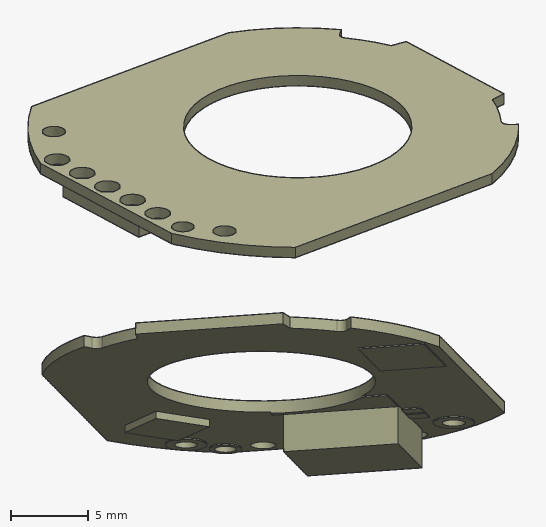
import cadquery as cq
import math

board_thickness = 0.76
board_width = 26.63
board_length = 29.52
half_width = board_width / 2
tab_edge_y = half_width
flat_edge_y = tab_edge_y - board_length
upper_radius = 14.33
lower_radius = 17.5
bore_diameter = 14.8

recess_radius = 13.22
recess_start_angle = 112.7
recess_end_angle = 128.6
recess_corner_radius = 0.5
tab_half_width = 4.94

hole_pitch = 2.54
hole_count = 6
hole_row_y = -15.03
row_hole_diameter = 1.65
end_hole_diameter = 1.45

mount_hole_diameter = 1.5
mount_hole_centers = [(-9.6, -12.58), (8.55, -13.35)]

pad_thickness = 0.09
mount_pad_diameter = 2.7
end_pad_diameter = 2.1

connector_x = (-7.12, 0.55)
connector_y = (-13.9, -7.79)
connector_bottom_z = -3.35

chip_side = 4.0
chip_center = (8.43, -8.04)
chip_bottom_z = -1.25
chip_turn = 45

side_pad = ((-12.6, -8.2), (0.9, 6.45))
rear_pad = ((connector_x[0], 1.3), (connector_y[1], -5.03))
lead_tip_x = -8.4
lead_x = (lead_tip_x, connector_x[0])
leads = [(lead_x, (-9.65, -8.6)), (lead_x, (-10.9, -9.85))]

board_bottom_z = -board_thickness
pad_bottom_z = board_bottom_z - pad_thickness
end_hole_center = (hole_pitch * (hole_count - 1) / 2, hole_row_y)


def polar(radius, degrees):
    """Point at a radius and angle about the bore axis."""
    angle = math.radians(degrees)
    return (radius * math.cos(angle), radius * math.sin(angle))


def mirrored(point):
    """Point reflected across X = 0."""
    return (-point[0], point[1])


def angle_at_x(radius, x):
    """Angle of the +Y point on a circle about the bore axis at the given X."""
    return math.degrees(math.acos(x / radius))


def block(x_range, y_range, bottom_z, top_z):
    """Rectangular block between the given limits."""
    corner = (x_range[0], y_range[0], bottom_z)
    size = (x_range[1] - x_range[0], y_range[1] - y_range[0], top_z - bottom_z)
    return cq.Workplane("XY").box(*size, centered=False).translate(corner)


def cylinder(center, diameter, bottom_z, top_z):
    """Upright cylinder between two heights."""
    disc = cq.Workplane("XY", origin=(0, 0, bottom_z)).center(*center).circle(diameter / 2)
    return disc.extrude(top_z - bottom_z)


def board():
    """Board outline with tab, recesses and curved shoulders, without holes."""
    tab_corner = (-tab_half_width, tab_edge_y)
    recess_start = polar(recess_radius, recess_start_angle)
    recess_middle = polar(recess_radius, (recess_start_angle + recess_end_angle) / 2)
    recess_end = polar(recess_radius, recess_end_angle)
    shoulder_start = polar(upper_radius, recess_end_angle)
    side_angle = angle_at_x(upper_radius, -half_width)
    shoulder_middle = polar(upper_radius, (recess_end_angle + side_angle) / 2)
    side_top = polar(upper_radius, side_angle)
    lower_side_angle = -angle_at_x(lower_radius, -half_width)
    lower_flat_angle = math.degrees(math.asin(flat_edge_y / lower_radius))
    flat_start_angle = -180 - lower_flat_angle
    side_bottom = polar(lower_radius, lower_side_angle)
    lower_middle = polar(lower_radius, (lower_side_angle + flat_start_angle) / 2)
    flat_start = polar(lower_radius, flat_start_angle)

    outline = (
        cq.Workplane("XY", origin=(0, 0, board_bottom_z))
        .moveTo(*mirrored(tab_corner))
        .lineTo(*tab_corner)
        .lineTo(*recess_start)
        .threePointArc(recess_middle, recess_end)
        .lineTo(*shoulder_start)
        .threePointArc(shoulder_middle, side_top)
        .lineTo(*side_bottom)
        .threePointArc(lower_middle, flat_start)
        .lineTo(*mirrored(flat_start))
        .threePointArc(mirrored(lower_middle), mirrored(side_bottom))
        .lineTo(*mirrored(side_top))
        .threePointArc(mirrored(shoulder_middle), mirrored(shoulder_start))
        .lineTo(*mirrored(recess_end))
        .threePointArc(mirrored(recess_middle), mirrored(recess_start))
        .close()
    )
    plate = outline.extrude(board_thickness)
    for corner in (recess_end, mirrored(recess_end)):
        edge = cq.selectors.NearestToPointSelector((*corner, board_bottom_z / 2))
        plate = plate.edges("|Z").edges(edge).fillet(recess_corner_radius)
    return plate


def add_pads(body):
    """Thin copper pads on the underside."""
    for x_range, y_range in [side_pad, rear_pad, *leads]:
        body = body.union(block(x_range, y_range, pad_bottom_z, board_bottom_z))
    for center in mount_hole_centers:
        body = body.union(cylinder(center, mount_pad_diameter, pad_bottom_z, board_bottom_z))
    return body.union(cylinder(end_hole_center, end_pad_diameter, pad_bottom_z, board_bottom_z))


def chip():
    """Square chip standing on its corner in plan."""
    height = board_bottom_z - chip_bottom_z
    body = cq.Workplane("XY").rect(chip_side, chip_side).extrude(height)
    body = body.rotate((0, 0, 0), (0, 0, 1), chip_turn)
    return body.translate((*chip_center, chip_bottom_z))


def cut_holes(body):
    """Bore, hole row and mounting holes, all through the board and its pads."""
    holes = [((0, 0), bore_diameter), (end_hole_center, end_hole_diameter)]
    for index in range(hole_count - 1):
        x = end_hole_center[0] - (index + 1) * hole_pitch
        holes.append(((x, hole_row_y), row_hole_diameter))
    for center in mount_hole_centers:
        holes.append((center, mount_hole_diameter))
    for center, diameter in holes:
        body = body.cut(cylinder(center, diameter, pad_bottom_z, 0))
    return body


connector = block(connector_x, connector_y, connector_bottom_z, board_bottom_z)
result = cut_holes(add_pads(board()).union(connector).union(chip()))